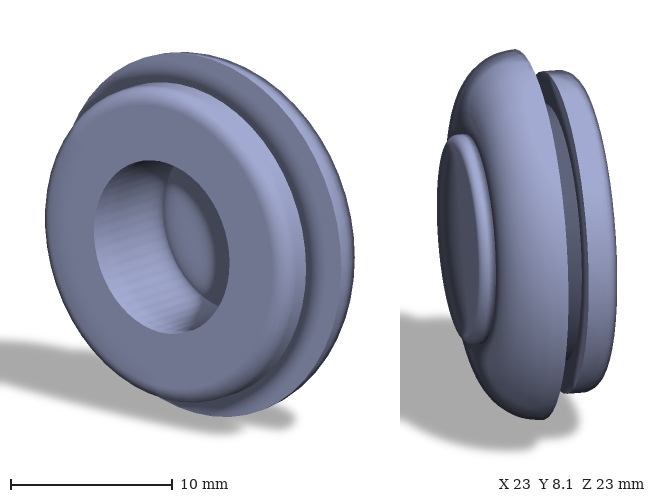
import cadquery as cq
import math

rim_radius = 11.5
flange_radius = 10.0
neck_radius = 8.0
boss_radius = 6.5
bore_radius = 5.5

flange_thickness = 2.0
neck_length = 1.6
rim_thickness = 3.5
boss_height = 1.0

flange_round = 1.0
boss_round = 0.5
floor_thickness = 1.5

neck_start = flange_thickness
rim_start = neck_start + neck_length
rim_end = rim_start + rim_thickness
back = rim_end + boss_height


def disc(radius, start, end):
    """Round disc on the Y axis between two stations."""
    return cq.Workplane("XZ", origin=(0, start, 0)).circle(radius).extrude(start - end)


def domed_rim():
    """Wide rim whose side is a quarter round over its full thickness."""
    crown_radius = rim_radius - rim_thickness
    arc_offset = rim_thickness * math.sqrt(0.5)
    middle = (crown_radius + arc_offset, rim_start + arc_offset)
    return (
        cq.Workplane("XY")
        .moveTo(0, rim_start)
        .lineTo(rim_radius, rim_start)
        .threePointArc(middle, (crown_radius, rim_end))
        .lineTo(0, rim_end)
        .close()
        .revolve(360, (0, 0, 0), (0, 1, 0))
    )


flange = disc(flange_radius, 0, flange_thickness).faces("<Y").edges().fillet(flange_round)
neck = disc(neck_radius, neck_start, rim_start)
boss = disc(boss_radius, rim_end, back).faces(">Y").edges().fillet(boss_round)
body = flange.union(neck).union(domed_rim()).union(boss)

bore = disc(bore_radius, 0, back - floor_thickness)
result = body.cut(bore)